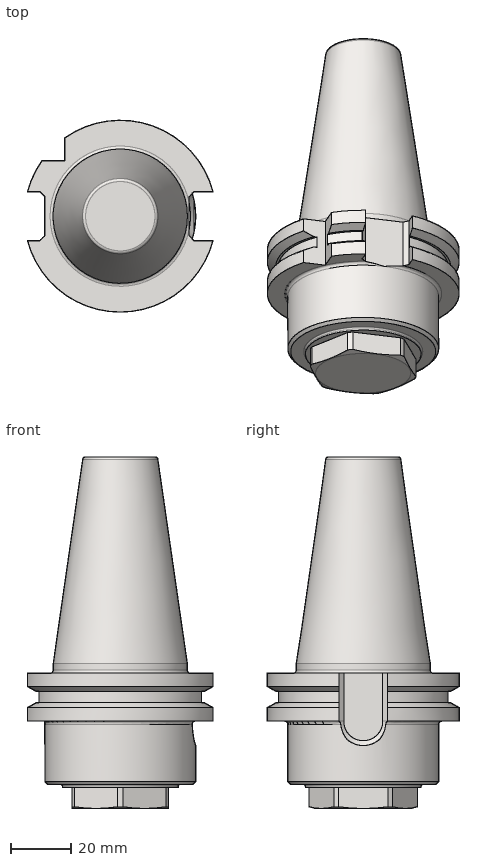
import cadquery as cq
import math

gauge_diameter = 44.45
shank_tip_diameter = 24.7
taper_length = 68.4
shank_tip_round = 1.0

flange_diameter = 63.55
flange_top = -3.2
flange_bottom = -19.1
flange_top_fillet = 1.0
flange_bottom_fillet = 1.0
groove_diameter = 56.25
groove_center = -11.1
groove_mouth_width = 7.0
groove_floor_width = 3.75
groove_flank_angle = 30.0

slot_width = 16.1
slot_edge_chamfer = 1.6
shallow_slot_distance = 25.0
deep_slot_distance = 22.8
notch_distance = 18.4

body_diameter = 50.0
body_bottom = -40.1
body_chamfer = 1.0
collar_diameter = 38.4
collar_bottom = -41.1
collar_fillet = 0.5

nut_bottom = -48.0
nut_across_flats = 32.0
nut_corner_diameter = 36.0
nut_face_diameter = 31.5
nut_chamfer_angle = 15.0

gauge_radius = gauge_diameter / 2
flange_radius = flange_diameter / 2
body_radius = body_diameter / 2
flange_height = flange_top - flange_bottom


def make_shank():
    """Taper and the short gauge cylinder that flares into the flange."""
    tip_radius = shank_tip_diameter / 2
    shank = (
        cq.Workplane("XZ")
        .moveTo(0, flange_top)
        .lineTo(gauge_radius, flange_top)
        .lineTo(gauge_radius, 0)
        .lineTo(tip_radius, taper_length)
        .lineTo(0, taper_length)
        .close()
        .revolve(360, (0, 0), (0, 1))
    )
    return shank.faces(">Z").edges().fillet(shank_tip_round)


def make_fillet_ring(radius, z, size, direction):
    """Concave ring joining a cylinder to the flat face at z; direction is +1 above, -1 below."""
    middle = size * (1 - math.sqrt(0.5))
    return (
        cq.Workplane("XZ")
        .moveTo(0, z)
        .lineTo(radius + size, z)
        .threePointArc(
            (radius + middle, z + direction * middle),
            (radius, z + direction * size),
        )
        .lineTo(0, z + direction * size)
        .close()
        .revolve(360, (0, 0), (0, 1))
    )


def make_flange():
    """Disc with a V-flanked, flat-bottomed gripper groove."""
    groove_radius = groove_diameter / 2
    mouth_half = groove_mouth_width / 2
    floor_half = groove_floor_width / 2
    flank_depth = (mouth_half - floor_half) / math.tan(math.radians(groove_flank_angle))
    flank_foot_radius = flange_radius - flank_depth
    return (
        cq.Workplane("XZ")
        .moveTo(0, flange_bottom)
        .lineTo(flange_radius, flange_bottom)
        .lineTo(flange_radius, groove_center - mouth_half)
        .lineTo(flank_foot_radius, groove_center - floor_half)
        .lineTo(groove_radius, groove_center - floor_half)
        .lineTo(groove_radius, groove_center + floor_half)
        .lineTo(flank_foot_radius, groove_center + floor_half)
        .lineTo(flange_radius, groove_center + mouth_half)
        .lineTo(flange_radius, flange_top)
        .lineTo(0, flange_top)
        .close()
        .revolve(360, (0, 0), (0, 1))
    )


def make_body():
    """Cylinder under the flange with a chamfered lower edge and a smaller collar."""
    body = (
        cq.Workplane("XY", origin=(0, 0, body_bottom))
        .circle(body_radius)
        .extrude(flange_bottom - body_bottom)
        .faces("<Z")
        .edges()
        .chamfer(body_chamfer)
    )
    collar = (
        cq.Workplane("XY", origin=(0, 0, collar_bottom))
        .circle(collar_diameter / 2)
        .extrude(body_bottom - collar_bottom)
    )
    return body.union(collar)


def make_nut():
    """Hexagon with flats facing X, corners turned round and lower face chamfered."""
    height = collar_bottom - nut_bottom
    corner_radius = nut_corner_diameter / 2
    face_radius = nut_face_diameter / 2
    chamfer_height = (corner_radius - face_radius) * math.tan(math.radians(nut_chamfer_angle))
    hexagon = (
        cq.Workplane("XY", origin=(0, 0, nut_bottom))
        .polygon(6, nut_across_flats, circumscribed=True)
        .extrude(height)
    )
    envelope = (
        cq.Workplane("XZ")
        .moveTo(0, nut_bottom)
        .lineTo(face_radius, nut_bottom)
        .lineTo(corner_radius, nut_bottom + chamfer_height)
        .lineTo(corner_radius, collar_bottom)
        .lineTo(0, collar_bottom)
        .close()
        .revolve(360, (0, 0), (0, 1))
    )
    return hexagon.intersect(envelope)


def make_slot_cutter(floor_distance):
    """Radial slot on +X, open at the flange top, with a round end below and a chamfered floor edge."""
    end_radius = slot_width / 2
    return (
        cq.Workplane("YZ", origin=(floor_distance, 0, 0))
        .moveTo(end_radius, flange_top)
        .lineTo(end_radius, flange_bottom)
        .threePointArc((0, flange_bottom - end_radius), (-end_radius, flange_bottom))
        .lineTo(-end_radius, flange_top)
        .close()
        .extrude(flange_radius)
        .faces("<X")
        .edges("not >Z")
        .chamfer(slot_edge_chamfer)
    )


def make_notch_cutter():
    """Square corner cut through the flange at -X, +Y."""
    size = flange_radius
    return (
        cq.Workplane("XY", origin=(-notch_distance - size, notch_distance, flange_bottom))
        .box(size, size, flange_height, centered=False)
    )


shallow_slot = make_slot_cutter(shallow_slot_distance).rotate((0, 0, 0), (0, 0, 1), 180)

result = (
    make_flange()
    .union(make_shank())
    .union(make_body())
    .union(make_fillet_ring(gauge_radius, flange_top, flange_top_fillet, 1))
    .union(make_fillet_ring(body_radius, flange_bottom, flange_bottom_fillet, -1))
    .union(make_fillet_ring(collar_diameter / 2, body_bottom, collar_fillet, -1))
    .union(make_nut())
    .cut(shallow_slot)
    .cut(make_slot_cutter(deep_slot_distance))
    .cut(make_notch_cutter())
)